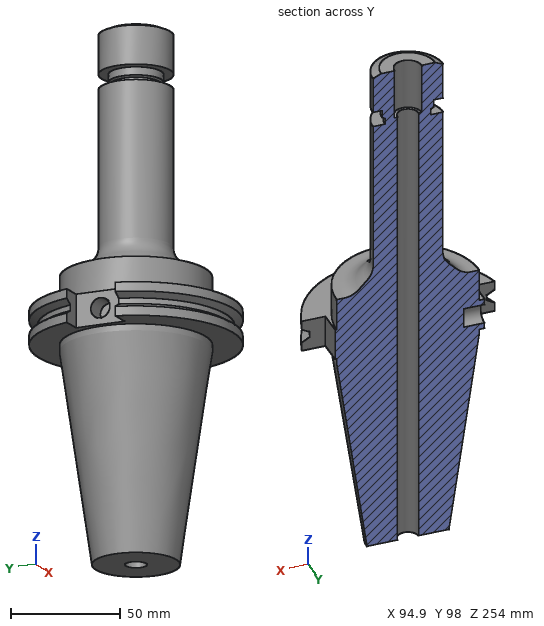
import cadquery as cq
import math

total_height = 254.0
gauge_height = 101.5
gauge_radius = 35.0
taper_per_length = 7 / 24
taper_end_radius = gauge_radius - gauge_height * taper_per_length / 2

flange_radius = 49.0
flange_bottom = 104.6
flange_top = 120.6
groove_floor_radius = 45.2
groove_edge_width = 7.0
groove_flank_angle = 30.0
flange_middle = (flange_bottom + flange_top) / 2

shoulder_top = 137.0
nose_radius = 17.3
nose_top = 226.3
blend_radius = 10.0
blend_bottom_radius = 31.2

neck_radius = 11.5
neck_step_height = 229.9
neck_cone_height = 0.8
nut_spigot_radius = 12.7
nut_bottom = 233.7
nut_chamfer_height = 1.8
nut_face_radius = 13.2

bore_radius = 5.0
mouth_radius = 6.5
mouth_depth = 25.5

slot_width = 24.6
left_slot_floor = 37.5
right_slot_floor = 35.8
slot_hole_radius = 4.8
slot_hole_depth = 10.2


def revolved_body():
    """Revolve the half-section of the holder about Z."""
    groove_half = groove_edge_width / 2
    flank_height = (flange_radius - groove_floor_radius) * math.tan(math.radians(groove_flank_angle))
    floor_half = groove_half - flank_height

    mid = math.radians(22.5)
    end = math.radians(45)
    low_x = blend_bottom_radius
    low_z = shoulder_top + blend_radius
    low_mid = (low_x - blend_radius * math.sin(mid), low_z - blend_radius * math.cos(mid))
    low_end = (low_x - blend_radius * math.sin(end), low_z - blend_radius * math.cos(end))
    high_x = nose_radius + blend_radius
    high_start_x = high_x - blend_radius * math.cos(end)
    high_start_z = low_end[1] + low_end[0] - high_start_x
    high_z = high_start_z + blend_radius * math.sin(end)
    high_mid = (high_x - blend_radius * math.cos(mid), high_z - blend_radius * math.sin(mid))

    section = (
        cq.Workplane("XZ")
        .moveTo(0, 0)
        .lineTo(taper_end_radius, 0)
        .lineTo(gauge_radius, gauge_height)
        .lineTo(gauge_radius, flange_bottom)
        .lineTo(flange_radius, flange_bottom)
        .lineTo(flange_radius, flange_middle - groove_half)
        .lineTo(groove_floor_radius, flange_middle - floor_half)
        .lineTo(groove_floor_radius, flange_middle + floor_half)
        .lineTo(flange_radius, flange_middle + groove_half)
        .lineTo(flange_radius, flange_top)
        .lineTo(gauge_radius, flange_top)
        .lineTo(gauge_radius, shoulder_top)
        .lineTo(low_x, shoulder_top)
        .threePointArc(low_mid, low_end)
        .lineTo(high_start_x, high_start_z)
        .threePointArc(high_mid, (nose_radius, high_z))
        .lineTo(nose_radius, nose_top)
        .lineTo(neck_radius, nose_top)
        .lineTo(neck_radius, neck_step_height - neck_cone_height)
        .lineTo(nut_spigot_radius, neck_step_height)
        .lineTo(nut_spigot_radius, nut_bottom)
        .lineTo(nose_radius, nut_bottom)
        .lineTo(nose_radius, total_height - nut_chamfer_height)
        .lineTo(nut_face_radius, total_height)
        .lineTo(0, total_height)
        .close()
    )
    return section.revolve(360, (0, 0, 0), (0, 1, 0))


def axial_bore():
    """Through bore with a wider mouth at the nut."""
    through = cq.Workplane("XY").circle(bore_radius).extrude(total_height)
    mouth = (
        cq.Workplane("XY")
        .workplane(offset=total_height - mouth_depth)
        .circle(mouth_radius)
        .extrude(mouth_depth)
    )
    return through.union(mouth)


def drive_slot(side, floor):
    """Slot through the flange height, open outward on the given X side."""
    depth = flange_radius - floor
    return (
        cq.Workplane("XY")
        .workplane(offset=flange_bottom)
        .center(side * (floor + depth / 2), 0)
        .rect(depth, slot_width)
        .extrude(flange_top - flange_bottom)
    )


def slot_hole():
    """Blind hole going inward from the floor of the -X slot."""
    return (
        cq.Workplane("YZ")
        .workplane(offset=-left_slot_floor)
        .center(0, flange_middle)
        .circle(slot_hole_radius)
        .extrude(slot_hole_depth)
    )


result = (
    revolved_body()
    .cut(axial_bore())
    .cut(drive_slot(-1, left_slot_floor))
    .cut(drive_slot(1, right_slot_floor))
    .cut(slot_hole())
)